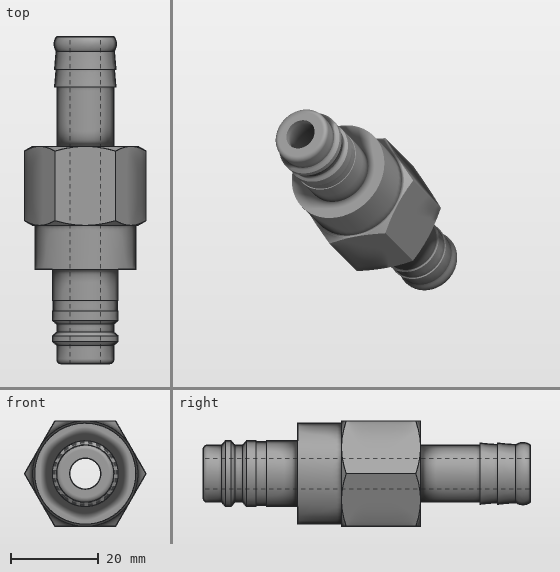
import cadquery as cq
import math

LENGTH = 74.5
BORE_RADIUS = 3.5

TAIL_RADIUS = 6.5
BEAD_RADIUS = 7.1
BEAD_FACE_RADIUS = TAIL_RADIUS
BEAD_LENGTH = 3.4
BARB_COUNT = 2
BARB_LENGTH = 4.05
BARB_ROOT_RADIUS = 6.65
BARB_TIP_RADIUS = 7.0

HEX_START = 25.0
HEX_LENGTH = 18.0
HEX_ACROSS_FLATS = 24.0
HEX_CHAMFER_ANGLE = 30.0
COLLAR_RADIUS = 11.5
COLLAR_LENGTH = 10.0

PLUG_RADIUS = 7.5
NOSE_RADIUS = 6.5
RELIEF_RADIUS = 7.3
SHANK_LENGTH = 7.1
RELIEF_LENGTH = 2.4
LAND_LENGTH = 2.1
BEVEL_LENGTH = 0.9
GROOVE_LENGTH = 1.8
RIB_LENGTH = 1.2
NOSE_FILLET = 1.0

HEX_END = HEX_START + HEX_LENGTH
HEX_INNER_RADIUS = HEX_ACROSS_FLATS / 2
HEX_CORNER_RADIUS = HEX_INNER_RADIUS / math.cos(math.pi / 6)
COLLAR_END = HEX_END + COLLAR_LENGTH


def place(radius, distance):
    """Profile point at a radius and a distance from the tail end."""
    return (radius, LENGTH / 2 - distance)


def revolve(profile):
    """Close a profile in the XY plane and revolve it about the Y axis."""
    return profile.close().revolve(360, (0, 0, 0), (0, 1, 0))


def make_tail():
    """Rounded end bead, cone-shaped barbs and plain tube up to the hexagon."""
    profile = cq.Workplane("XY").moveTo(*place(0, 0)).lineTo(*place(BEAD_FACE_RADIUS, 0))
    profile = profile.threePointArc(
        place(BEAD_RADIUS, BEAD_LENGTH / 2), place(BEAD_FACE_RADIUS, BEAD_LENGTH)
    )
    for barb in range(BARB_COUNT):
        start = BEAD_LENGTH + barb * BARB_LENGTH
        profile = profile.lineTo(*place(BARB_ROOT_RADIUS, start))
        profile = profile.lineTo(*place(BARB_TIP_RADIUS, start + BARB_LENGTH))
    barbs_end = BEAD_LENGTH + BARB_COUNT * BARB_LENGTH
    profile = profile.lineTo(*place(TAIL_RADIUS, barbs_end))
    profile = profile.lineTo(*place(TAIL_RADIUS, HEX_START)).lineTo(*place(0, HEX_START))
    return revolve(profile)


def make_hexagon():
    """Hexagonal prism, flats facing +Z and -Z, with its corners coned at both ends."""
    prism = (
        cq.Workplane("XZ", origin=(0, LENGTH / 2 - HEX_START, 0))
        .polygon(6, 2 * HEX_CORNER_RADIUS)
        .extrude(HEX_LENGTH)
    )
    cone_drop = (HEX_CORNER_RADIUS - HEX_INNER_RADIUS) * math.tan(math.radians(HEX_CHAMFER_ANGLE))
    envelope = cq.Workplane("XY").polyline([
        place(0, HEX_START),
        place(HEX_INNER_RADIUS, HEX_START),
        place(HEX_CORNER_RADIUS, HEX_START + cone_drop),
        place(HEX_CORNER_RADIUS, HEX_END - cone_drop),
        place(HEX_INNER_RADIUS, HEX_END),
        place(0, HEX_END),
    ])
    return prism.intersect(revolve(envelope))


def make_collar_and_plug():
    """Round collar, plug with relief, bevelled land, groove and rib, rounded nose."""
    shank_end = COLLAR_END + SHANK_LENGTH
    relief_end = shank_end + RELIEF_LENGTH
    land_end = relief_end + LAND_LENGTH
    groove_start = land_end + BEVEL_LENGTH
    groove_end = groove_start + GROOVE_LENGTH
    rib_start = groove_end + BEVEL_LENGTH
    rib_end = rib_start + RIB_LENGTH
    profile = cq.Workplane("XY").polyline([
        place(0, HEX_END),
        place(COLLAR_RADIUS, HEX_END),
        place(COLLAR_RADIUS, COLLAR_END),
        place(PLUG_RADIUS, COLLAR_END),
        place(PLUG_RADIUS, shank_end),
        place(RELIEF_RADIUS, shank_end),
        place(RELIEF_RADIUS, relief_end),
        place(PLUG_RADIUS, relief_end),
        place(PLUG_RADIUS, land_end),
        place(NOSE_RADIUS, groove_start),
        place(NOSE_RADIUS, groove_end),
        place(PLUG_RADIUS, rib_start),
        place(PLUG_RADIUS, rib_end),
        place(NOSE_RADIUS, rib_end + BEVEL_LENGTH),
        place(NOSE_RADIUS, LENGTH),
        place(0, LENGTH),
    ])
    return revolve(profile).faces("<Y").edges().fillet(NOSE_FILLET)


def make_bore():
    """Straight hole through the whole length."""
    return cq.Workplane("XZ", origin=(0, LENGTH / 2, 0)).circle(BORE_RADIUS).extrude(LENGTH)


result = make_tail().union(make_hexagon()).union(make_collar_and_plug()).cut(make_bore())